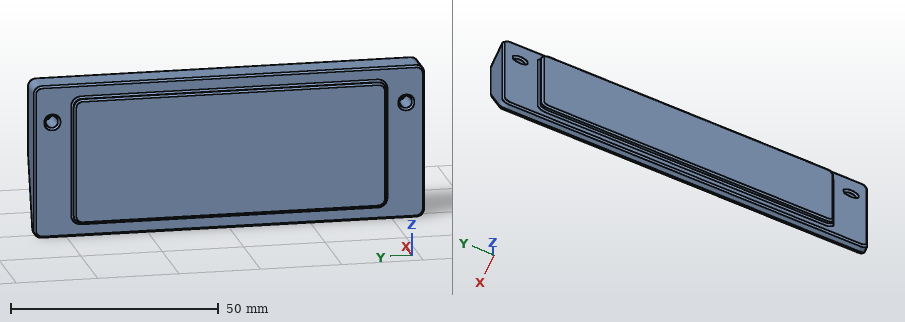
import cadquery as cq

depth = 9.5
length = 96.0
height = 38.0
corner_radius = 2.0
edge_chamfer = 0.5

taper_height = 19.7
bottom_thickness = 2.3

pad_thickness = 1.5
pad_length = 76.8
pad_margin = 3.5
pad_height = height - 2 * pad_margin
pad_corner_radius = 2.0
pad_chamfer = 0.5
pad_flare = 0.5

hole_diameter = 3.0
countersink_diameter = 4.0
hole_spacing = 87.0
hole_height = 28.9

plate_thickness = depth - pad_thickness


def rounded_block(block_length, block_height, thickness, radius, center_z):
    """Block growing along +X from X = 0, with its four X-direction edges rounded."""
    return (
        cq.Workplane("YZ")
        .center(0, center_z)
        .rect(block_length, block_height)
        .extrude(thickness)
        .edges("|X")
        .fillet(radius)
    )


def make_plate():
    """Rounded plate with a tapered back and chamfered front and back rims."""
    slope_center = (depth - (plate_thickness - bottom_thickness) / 2, 0, taper_height / 2)
    front_x = pad_thickness
    block = rounded_block(length, height, plate_thickness, corner_radius, height / 2)
    block = block.translate((front_x, 0, 0))
    taper_profile = (
        cq.Workplane("XZ")
        .moveTo(front_x, 0)
        .lineTo(front_x + bottom_thickness, 0)
        .lineTo(depth, taper_height)
        .lineTo(depth, height)
        .lineTo(front_x, height)
        .close()
        .extrude(length / 2, both=True)
    )
    plate = block.intersect(taper_profile)
    plate = plate.faces("<X").edges().chamfer(edge_chamfer)
    upright_edges = plate.faces(">X").edges().vals()
    slope_edges = plate.faces(cq.selectors.NearestToPointSelector(slope_center)).edges().vals()
    bend = plate.faces(">X").edges("<Z").val()
    rim = [edge for edge in upright_edges + slope_edges if not edge.isSame(bend)]
    return plate.newObject(rim).chamfer(edge_chamfer)


def make_pad():
    """Raised pad with a chamfered outer rim and a flared foot against the plate."""
    pad = rounded_block(pad_length, pad_height, pad_thickness, pad_corner_radius, height / 2)
    pad = pad.faces("<X").edges().chamfer(pad_chamfer)
    foot = rounded_block(
        pad_length + 2 * pad_flare,
        pad_height + 2 * pad_flare,
        2 * pad_flare,
        pad_corner_radius + pad_flare,
        height / 2,
    )
    foot = foot.faces("<X").edges().chamfer(pad_flare)
    foot = foot.translate((pad_thickness - pad_flare, 0, 0))
    return pad.union(foot)


def drill_holes(body):
    """Through holes with 45-degree countersinks in the -X face of the plate."""
    countersink_depth = (countersink_diameter - hole_diameter) / 2
    for hole_y in (-hole_spacing / 2, hole_spacing / 2):
        mouth = cq.Workplane("YZ", origin=(pad_thickness, hole_y, hole_height))
        bore = mouth.circle(hole_diameter / 2).extrude(plate_thickness)
        countersink = (
            mouth.circle(countersink_diameter / 2)
            .workplane(offset=countersink_depth)
            .circle(hole_diameter / 2)
            .loft()
        )
        body = body.cut(bore).cut(countersink)
    return body


result = drill_holes(make_plate().union(make_pad()))